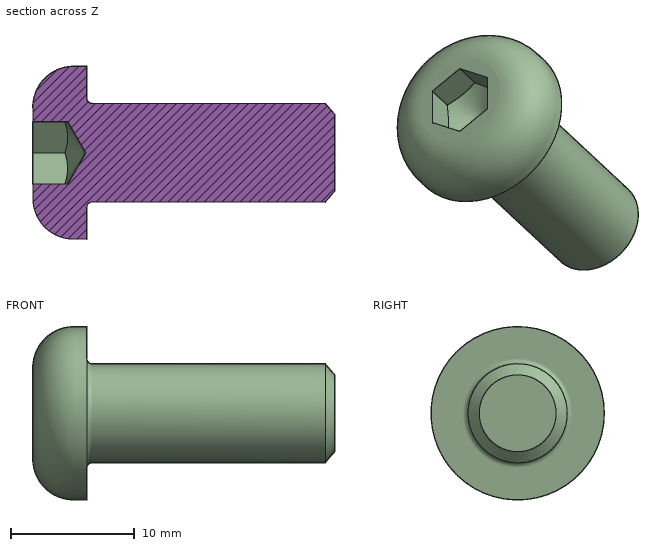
import cadquery as cq
import math

length = 24.4
head_diameter = 14.0
head_height = 4.4
rim_width = 1.05
shank_diameter = 8.0
neck_fillet = 0.41
tip_chamfer_length = 0.78
tip_chamfer_depth = 0.9

socket_across_flats = 5.0
socket_depth = 2.6
socket_cone_angle = 120.0

head_radius = head_diameter / 2
shank_radius = shank_diameter / 2
dome_radius = head_height - rim_width
face_radius = head_radius - dome_radius
socket_across_corners = socket_across_flats / math.cos(math.radians(30))


def make_body():
    """Revolve the half profile of the head and shank about the X axis."""
    diagonal = dome_radius * math.sqrt(0.5)
    dome_middle = (dome_radius - diagonal, face_radius + diagonal)
    fillet_offset = neck_fillet * (1 - math.sqrt(0.5))
    fillet_middle = (head_height + fillet_offset, shank_radius + fillet_offset)
    profile = (
        cq.Workplane("XY")
        .lineTo(0, face_radius)
        .threePointArc(dome_middle, (dome_radius, head_radius))
        .lineTo(head_height, head_radius)
        .lineTo(head_height, shank_radius + neck_fillet)
        .threePointArc(fillet_middle, (head_height + neck_fillet, shank_radius))
        .lineTo(length - tip_chamfer_length, shank_radius)
        .lineTo(length, shank_radius - tip_chamfer_depth)
        .lineTo(length, 0)
        .close()
    )
    return profile.revolve(360, (0, 0, 0), (1, 0, 0))


def make_socket():
    """Hexagonal prism, corners toward +Z and -Z, trimmed to a cone at its bottom."""
    corner_radius = socket_across_corners / 2
    cone_height = corner_radius / math.tan(math.radians(socket_cone_angle / 2))
    tip_depth = socket_depth + cone_height
    prism = (
        cq.Workplane("YZ")
        .transformed(rotate=(0, 0, 90))
        .polygon(6, socket_across_corners)
        .extrude(tip_depth)
    )
    trim_radius = 2 * corner_radius
    trim_start = tip_depth - 2 * cone_height
    pointed_envelope = (
        cq.Workplane("XY")
        .lineTo(0, trim_radius)
        .lineTo(trim_start, trim_radius)
        .lineTo(tip_depth, 0)
        .close()
        .revolve(360, (0, 0, 0), (1, 0, 0))
    )
    return prism.intersect(pointed_envelope)


result = make_body().cut(make_socket())